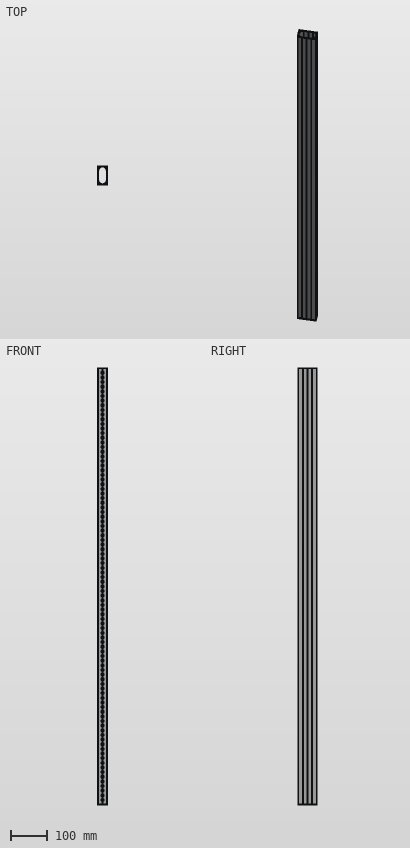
import cadquery as cq

INCH = 25.4
WIDTH = 1 * INCH
DEPTH = 2 * INCH
LENGTH = 47 * INCH

WALL = INCH / 16
INNER_CORNER_RADIUS = 10.0

PITCH = INCH / 2
HOLE_DIAMETER = 5.1
HOLE_COUNT = round(LENGTH / PITCH) - 1

GROOVE_DEPTH = 0.5


def make_tube():
    """Hollow tube with sharp outer corners and large inner corner radii."""
    cavity = (
        cq.Workplane("XY")
        .rect(WIDTH - 2 * WALL, DEPTH - 2 * WALL)
        .extrude(LENGTH)
        .edges("|Z")
        .fillet(INNER_CORNER_RADIUS)
    )
    return cq.Workplane("XY").rect(WIDTH, DEPTH).extrude(LENGTH).cut(cavity)


def groove_cutter(x, y):
    """Full-length diamond bar that leaves a V groove where it is centred on an outer face."""
    diamond = [(GROOVE_DEPTH, 0), (0, GROOVE_DEPTH), (-GROOVE_DEPTH, 0), (0, -GROOVE_DEPTH)]
    return cq.Workplane("XY").center(x, y).polyline(diamond).close().extrude(LENGTH)


def cut_grooves(body):
    """One groove down each narrow side, three down each wide side."""
    for side in (-1, 1):
        body = body.cut(groove_cutter(0, side * DEPTH / 2))
        for y in (-PITCH, 0, PITCH):
            body = body.cut(groove_cutter(side * WIDTH / 2, y))
    return body


def cut_holes(body):
    """Row of round holes along Y, through both narrow sides, one pitch in from each end."""
    centers = [(0, PITCH * (i + 1)) for i in range(HOLE_COUNT)]
    holes = (
        cq.Workplane("XZ", origin=(0, DEPTH / 2, 0))
        .pushPoints(centers)
        .circle(HOLE_DIAMETER / 2)
        .extrude(DEPTH)
    )
    return body.cut(holes)


result = cut_holes(cut_grooves(make_tube()))